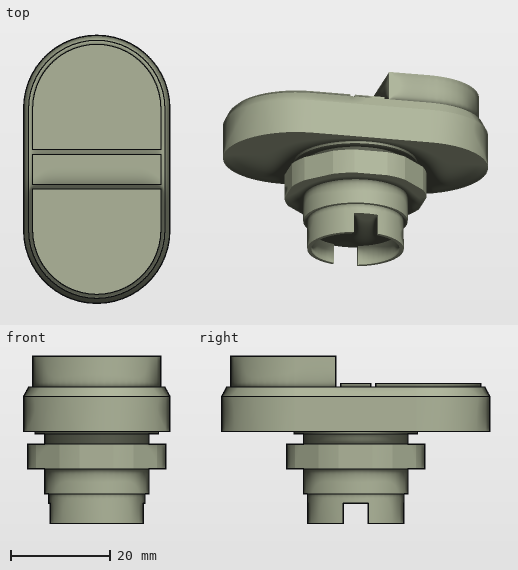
import cadquery as cq

SLOT_TOP = 4.05
SKIRT_TOP = 6.0
NUT_BOTTOM = 11.0
NUT_TOP = 16.0
GASKET_BOTTOM = 18.05
HEAD_BOTTOM = 18.5
BEVEL_BOTTOM = 25.55
HEAD_TOP = 27.5
LOW_BUTTON_TOP = 28.2
TOTAL_HEIGHT = 33.7

HEAD_LENGTH = 54.0
HEAD_WIDTH = 29.5
BEVEL_INSET = 1.0
ARC_CENTRE_Y = (HEAD_LENGTH - HEAD_WIDTH) / 2

BUTTON_WIDTH = 25.8
BUTTON_LENGTH = 2 * ARC_CENTRE_Y + BUTTON_WIDTH
CENTRE_BAR_LENGTH = 6.05
BUTTON_GAP = 0.95
END_BUTTON_START_Y = CENTRE_BAR_LENGTH / 2 + BUTTON_GAP

STEM_RADIUS = 10.55
SKIRT_RADIUS = 9.7
SKIRT_WALL = 0.8
SLOT_WIDTH = 4.95

GASKET_RADIUS = 12.5
NUT_ACROSS_FLATS = 27.8
NUT_CORNER_RADIUS = 14.3


def cylinder(radius, bottom, top):
    return cq.Workplane("XY").workplane(offset=bottom).circle(radius).extrude(top - bottom)


def stadium(length, width, bottom, top):
    return cq.Workplane("XY").workplane(offset=bottom).slot2D(length, width, 90).extrude(top - bottom)


def box_between(y_start, y_end, bottom, top):
    """Block across the full head width, between two Y positions and two heights."""
    return (
        cq.Workplane("XY", origin=(0, (y_start + y_end) / 2, bottom))
        .rect(HEAD_WIDTH, y_end - y_start)
        .extrude(top - bottom)
    )


def button(y_start, y_end, top):
    """Piece of the button stadium between two Y positions."""
    outline = stadium(BUTTON_LENGTH, BUTTON_WIDTH, HEAD_TOP, top)
    return outline.intersect(box_between(y_start, y_end, HEAD_TOP, top))


def make_head():
    """Bevelled head with its three buttons, stem and slotted skirt."""
    head = stadium(HEAD_LENGTH, HEAD_WIDTH, HEAD_BOTTOM, HEAD_TOP)
    head = head.faces(">Z").chamfer(HEAD_TOP - BEVEL_BOTTOM, BEVEL_INSET)

    button_end = BUTTON_LENGTH / 2
    bar_end = CENTRE_BAR_LENGTH / 2
    head = head.union(button(END_BUTTON_START_Y, button_end, LOW_BUTTON_TOP))
    head = head.union(button(-bar_end, bar_end, LOW_BUTTON_TOP))
    head = head.union(button(-button_end, -END_BUTTON_START_Y, TOTAL_HEIGHT))

    head = head.union(cylinder(STEM_RADIUS, SKIRT_TOP, HEAD_BOTTOM))
    head = head.union(cylinder(SKIRT_RADIUS, 0, SKIRT_TOP))

    head = head.cut(cylinder(SKIRT_RADIUS - SKIRT_WALL, 0, SLOT_TOP))
    return head.cut(box_between(-SLOT_WIDTH / 2, SLOT_WIDTH / 2, 0, SLOT_TOP))


def make_gasket():
    """Thin flat ring under the head."""
    ring = cylinder(GASKET_RADIUS, GASKET_BOTTOM, HEAD_BOTTOM)
    return ring.cut(cylinder(STEM_RADIUS, GASKET_BOTTOM, HEAD_BOTTOM))


def make_nut():
    """Octagonal nut with rounded corners and flats facing X and Y."""
    blank = cylinder(NUT_CORNER_RADIUS, NUT_BOTTOM, NUT_TOP)
    square = (
        cq.Workplane("XY")
        .workplane(offset=NUT_BOTTOM)
        .rect(NUT_ACROSS_FLATS, NUT_ACROSS_FLATS)
        .extrude(NUT_TOP - NUT_BOTTOM)
    )
    turned_square = square.rotate((0, 0, 0), (0, 0, 1), 45)
    octagon = square.intersect(turned_square)
    return blank.intersect(octagon).cut(cylinder(STEM_RADIUS, NUT_BOTTOM, NUT_TOP))


head = make_head()
gasket = make_gasket()
nut = make_nut()
result = cq.Compound.makeCompound([head.val(), gasket.val(), nut.val()])